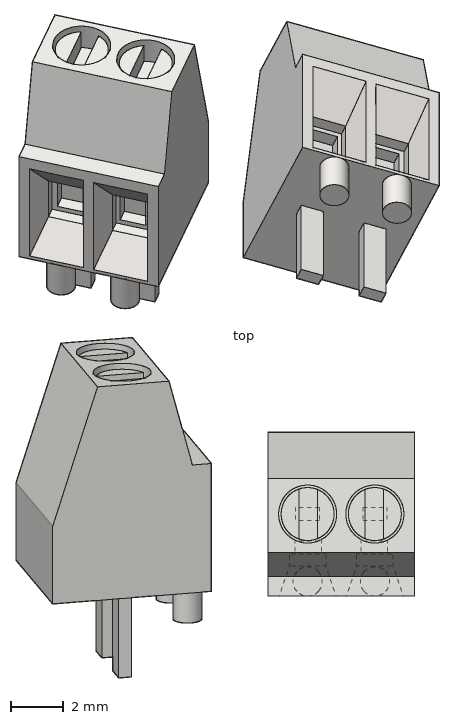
import cadquery as cq


total_height = 12.0
width = 5.55
depth = 6.2

pin_length = 3.5
housing_height = total_height - pin_length
ledge_height = 5.09
ledge_depth = 0.75
top_front_y = 1.65
top_back_y = 4.45
back_wall_height = 3.1

pole_pitch = 2.55
pole_xs = (-pole_pitch / 2, pole_pitch / 2)
metal_pitch = 2.5
metal_xs = (-metal_pitch / 2, metal_pitch / 2)

mouth_width = 2.15
mouth_bottom = 0.15
mouth_top = 4.58
mouth_depth = 1.14
throat_width = 1.38
throat_bottom = 1.28
throat_top = 3.1
throat_depth = 0.45
clamp_width = 1.01
clamp_height = 1.4
clamp_depth = 0.5
throat_z = (throat_bottom + throat_top) / 2

screw_y = depth / 2
screw_hole_diameter = 2.2
screw_diameter = 2.0
screw_sink = 0.2
slot_width = 0.7
slot_depth = 0.8
screw_hole_depth = 1.5

peg_diameter = 1.1
peg_length = 1.51
pin_width = 0.9
pin_thickness = 0.5


def housing():
    """Solid housing, extruded across the poles from its side profile."""
    outline = [
        (0, 0),
        (0, ledge_height),
        (ledge_depth, ledge_height),
        (top_front_y, housing_height),
        (top_back_y, housing_height),
        (depth, back_wall_height),
        (depth, 0),
    ]
    return cq.Workplane("YZ").polyline(outline).close().extrude(width / 2, both=True)


def entry_plane(x, y, z):
    """Plane facing the wire-entry side (-Y), with local x along +X and local y along +Z."""
    return cq.Plane(origin=(x, y, z), xDir=(1, 0, 0), normal=(0, -1, 0))


def wire_entry(x):
    """Cutter for the tapered mouth and the straight throat behind it."""
    throat_height = throat_top - throat_bottom
    mouth_z = (mouth_bottom + mouth_top) / 2
    mouth = (
        cq.Workplane(entry_plane(x, 0, 0))
        .center(0, mouth_z)
        .rect(mouth_width, mouth_top - mouth_bottom)
        .workplane(offset=-mouth_depth)
        .center(0, throat_z - mouth_z)
        .rect(throat_width, throat_height)
        .loft(ruled=True)
    )
    throat = (
        cq.Workplane(entry_plane(x, mouth_depth, throat_z))
        .rect(throat_width, throat_height)
        .extrude(-throat_depth)
    )
    return mouth.union(throat)


def clamp_recess(x):
    """Cutter for the rectangular recess in the back wall of the throat."""
    return (
        cq.Workplane(entry_plane(x, mouth_depth + throat_depth, throat_z))
        .rect(clamp_width, clamp_height)
        .extrude(-clamp_depth)
    )


def screw_hole(x):
    """Cutter for the clearance hole around a screw."""
    return (
        cq.Workplane("XY", origin=(x, screw_y, housing_height))
        .circle(screw_hole_diameter / 2)
        .extrude(-screw_hole_depth)
    )


def screw_head(hole_x, slot_x):
    """Screw head standing on the hole floor, with a driver slot along Y."""
    top_z = housing_height - screw_sink
    head = (
        cq.Workplane("XY", origin=(hole_x, screw_y, top_z))
        .circle(screw_diameter / 2)
        .extrude(screw_sink - screw_hole_depth)
    )
    slot = (
        cq.Workplane("XY", origin=(slot_x, screw_y, top_z))
        .rect(slot_width, screw_hole_diameter)
        .extrude(-slot_depth)
    )
    return head.cut(slot)


def locating_peg(x):
    """Round peg under the housing, tangent to the front face."""
    return (
        cq.Workplane("XY", origin=(x, peg_diameter / 2, 0))
        .circle(peg_diameter / 2)
        .extrude(-peg_length)
    )


def solder_pin(x):
    """Flat pin under the middle of the housing."""
    return (
        cq.Workplane("XY", origin=(x, depth / 2, 0))
        .rect(pin_width, pin_thickness)
        .extrude(-pin_length)
    )


result = housing()
for pole_x, metal_x in zip(pole_xs, metal_xs):
    result = result.cut(wire_entry(pole_x)).cut(clamp_recess(metal_x))
    result = result.cut(screw_hole(pole_x)).union(screw_head(pole_x, metal_x))
    result = result.union(locating_peg(pole_x)).union(solder_pin(pole_x))